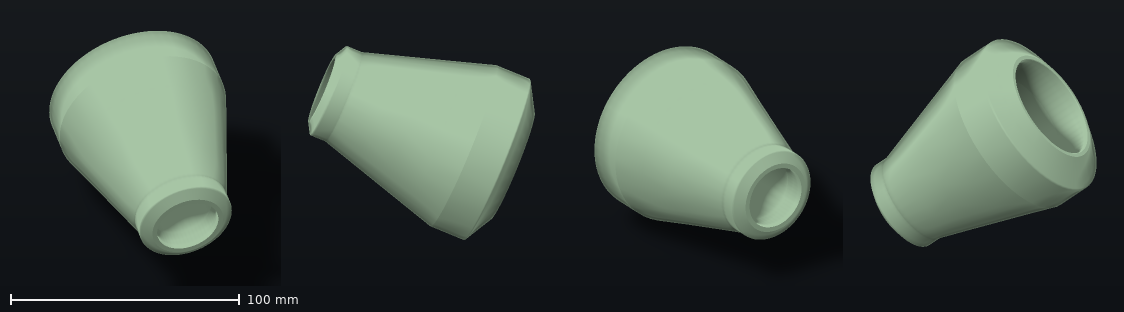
import cadquery as cq
import math

length = 90.0
large_outer = 76.1 / 2
small_outer = 42.2 / 2
large_bore = 47.1 / 2
small_bore = 28.0 / 2

large_land = 2.0
small_land = 2.2
bevel_angle = 30.0

large_end = 23.1
small_end = 10.0
large_bore_depth = 15.0

corner_radius = 1.0
bore_chamfer = 0.3

bevel_slope = math.tan(math.radians(bevel_angle))
large_face = large_bore + large_land
small_face = small_bore + small_land
large_bevel = (large_outer - large_face) * bevel_slope
small_bevel = (small_outer - small_face) * bevel_slope

profile = (
    cq.Workplane("XY")
    .moveTo(0, large_bore)
    .lineTo(0, large_face)
    .lineTo(large_bevel, large_outer)
    .lineTo(large_end, large_outer)
    .lineTo(length - small_end, small_outer)
    .lineTo(length - small_bevel, small_outer)
    .lineTo(length, small_face)
    .lineTo(length, small_bore)
    .lineTo(length - small_end, small_bore)
    .lineTo(large_bore_depth, large_bore)
    .close()
)

body = profile.revolve(360, (0, 0, 0), (1, 0, 0))


def circular_edge(solid, x, radius):
    """Return the full circular edge of the given radius around the axis at x."""
    reach = 0.01
    box = cq.selectors.BoxSelector(
        (x - reach, -radius - reach, -radius - reach),
        (x + reach, radius + reach, radius + reach),
        boundingbox=True,
    )
    return solid.edges(box).edges(cq.selectors.RadiusNthSelector(-1))


rounded_corners = [
    (large_bevel, large_outer),
    (length - small_end, small_outer),
    (length - small_bevel, small_outer),
]
for x, radius in rounded_corners:
    body = circular_edge(body, x, radius).fillet(corner_radius)

mouth = body.faces("<X").edges(cq.selectors.RadiusNthSelector(0))
result = mouth.chamfer(bore_chamfer)